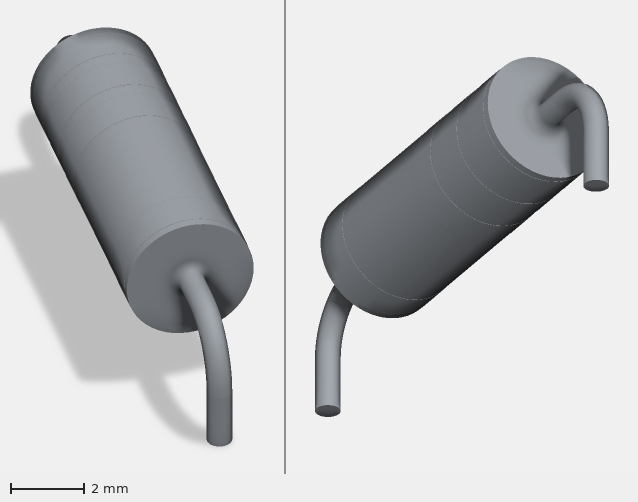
import cadquery as cq

span = 15.94
height = 5.21
body_length = 9.5
body_diameter = 3.6
band_diameter = 3.62
band_width = 1.0
band_gap = 0.5
end_inset = 0.25
lead_diameter = 0.7
bend_radius = 1.77
root_fillet = 0.27

body_end = body_length / 2
lead_radius = lead_diameter / 2
leg_x = span / 2 - lead_radius
leg_bottom = band_diameter / 2 - height
bend_start = leg_x - bend_radius


def rod(start_x, length, diameter):
    """Solid cylinder along X."""
    return cq.Workplane("YZ", origin=(start_x, 0, 0)).circle(diameter / 2).extrude(length)


def bent_lead():
    """Lead at the +X end: straight, quarter bend, then a vertical leg."""
    straight = rod(body_end, bend_start - body_end, lead_diameter)
    bend = (
        cq.Workplane("YZ", origin=(bend_start, 0, 0))
        .circle(lead_radius)
        .revolve(90, (-0.16, -bend_radius, 0), (0.16, -bend_radius, 0))
    )
    leg = (
        cq.Workplane("XY", origin=(leg_x, 0, leg_bottom))
        .circle(lead_radius)
        .extrude(-bend_radius - leg_bottom)
    )
    return straight.union(bend, clean=False).union(leg, clean=False)


def root_flare():
    """Concave flare where the +X lead leaves the body face."""
    flare_end = body_end + root_fillet
    flare_radius = lead_radius + root_fillet
    mid_offset = root_fillet * (1 - 0.5 ** 0.5)
    return (
        cq.Workplane("XZ")
        .moveTo(body_end, 0)
        .lineTo(body_end, flare_radius)
        .threePointArc((body_end + mid_offset, lead_radius + mid_offset), (flare_end, lead_radius))
        .lineTo(flare_end, 0)
        .close()
        .revolve(360, (0, 0, 0), (1, 0, 0))
    )


result = rod(-body_end, body_length, body_diameter)
first_band = -body_end + end_inset
band_pitch = band_width + band_gap
band_starts = [first_band + i * band_pitch for i in range(3)]
band_starts.append(body_end - end_inset - band_width)
for start in band_starts:
    result = result.union(rod(start, band_width, band_diameter))

lead = bent_lead().union(root_flare(), clean=False)
result = result.union(lead, clean=False).union(lead.mirror("YZ"), clean=False)